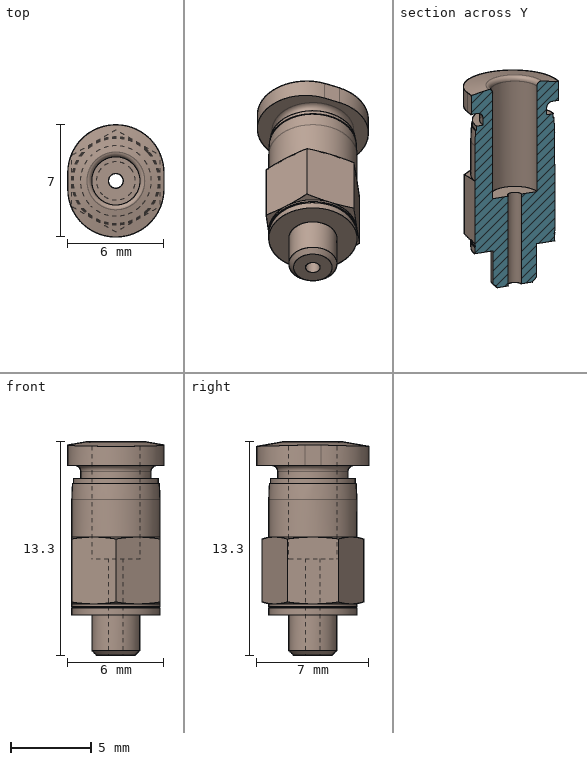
import cadquery as cq
import math

spigot_diameter = 3.0
spigot_length = 2.5
spigot_chamfer = 0.3

body_diameter = 5.5
washer_height = 0.45
groove_depth = 0.05
groove_height = 2 * groove_depth
land_height = 0.15
hex_height = 4.15
hex_across_flats = body_diameter
hex_sides = 6
hex_chamfer_angle = 15.0

sleeve_height = 2.35
crown_height = 1.0
crown_top_diameter = 5.4
collar_diameter = 5.3
collar_height = 0.3

neck_diameter = 4.4
neck_height = 0.8
neck_fillet = 0.35
cap_width = 6.0
cap_length = 7.0
cap_height = 1.5
cap_slope_angle = 10.0

tube_bore_diameter = 3.0
tube_bore_depth = 7.3
mouth_radius = 0.3
flow_bore_diameter = 0.9

washer_top = spigot_length + washer_height
groove_top = washer_top + groove_height
hex_bottom = groove_top + land_height
hex_top = hex_bottom + hex_height
crown_bottom = hex_top + sleeve_height
crown_top = crown_bottom + crown_height
collar_top = crown_top + collar_height
cap_bottom = collar_top + neck_height
total_height = cap_bottom + cap_height


def make_round_body():
    """Spigot, washer, V-groove, sleeve, crowned shoulder, collar and neck as one revolved profile."""
    spigot_radius = spigot_diameter / 2
    body_radius = body_diameter / 2
    collar_radius = collar_diameter / 2
    crown_top_radius = crown_top_diameter / 2
    neck_radius = neck_diameter / 2
    crown_inset = body_radius - crown_top_radius
    crown_radius = (crown_height**2 + crown_inset**2) / (2 * crown_inset)
    crown_mid_height = crown_height / 2
    crown_mid_inset = crown_radius - math.sqrt(crown_radius**2 - crown_mid_height**2)
    fillet_mid_offset = neck_fillet * (1 - math.sqrt(0.5))
    return (
        cq.Workplane("XZ")
        .moveTo(0, 0)
        .lineTo(spigot_radius - spigot_chamfer, 0)
        .lineTo(spigot_radius, spigot_chamfer)
        .lineTo(spigot_radius, spigot_length)
        .lineTo(body_radius, spigot_length)
        .lineTo(body_radius, washer_top)
        .lineTo(body_radius - groove_depth, washer_top + groove_depth)
        .lineTo(body_radius, groove_top)
        .lineTo(body_radius, crown_bottom)
        .threePointArc(
            (body_radius - crown_mid_inset, crown_bottom + crown_mid_height),
            (crown_top_radius, crown_top),
        )
        .lineTo(collar_radius, crown_top)
        .lineTo(collar_radius, collar_top)
        .lineTo(neck_radius, collar_top)
        .lineTo(neck_radius, cap_bottom - neck_fillet)
        .threePointArc(
            (neck_radius + fillet_mid_offset, cap_bottom - fillet_mid_offset),
            (neck_radius + neck_fillet, cap_bottom),
        )
        .lineTo(0, cap_bottom)
        .close()
        .revolve(360, (0, 0, 0), (0, 1, 0))
    )


def make_hexagon():
    """Hexagon with corners on the Y axis and conically chamfered ends."""
    across_corners = hex_across_flats / math.cos(math.pi / hex_sides)
    prism = (
        cq.Workplane("XY")
        .workplane(offset=hex_bottom)
        .transformed(rotate=(0, 0, 90))
        .polygon(hex_sides, across_corners)
        .extrude(hex_height)
    )
    flat_radius = hex_across_flats / 2
    corner_radius = across_corners / 2
    chamfer_drop = (corner_radius - flat_radius) * math.tan(math.radians(hex_chamfer_angle))
    envelope = (
        cq.Workplane("XZ")
        .moveTo(0, hex_bottom)
        .lineTo(flat_radius, hex_bottom)
        .lineTo(corner_radius, hex_bottom + chamfer_drop)
        .lineTo(corner_radius, hex_top - chamfer_drop)
        .lineTo(flat_radius, hex_top)
        .lineTo(0, hex_top)
        .close()
        .revolve(360, (0, 0, 0), (0, 1, 0))
    )
    return prism.intersect(envelope)


def make_cap():
    """Oblong cap, long along Y, whose top slopes down conically from the bore mouth."""
    oblong = (
        cq.Workplane("XY")
        .workplane(offset=cap_bottom)
        .slot2D(cap_length, cap_width, 90)
        .extrude(cap_height)
    )
    mouth_outer_radius = tube_bore_diameter / 2 + mouth_radius
    rim_radius = cap_length / 2
    slope_drop = (rim_radius - mouth_outer_radius) * math.tan(math.radians(cap_slope_angle))
    envelope = (
        cq.Workplane("XZ")
        .moveTo(0, cap_bottom)
        .lineTo(rim_radius, cap_bottom)
        .lineTo(rim_radius, total_height - slope_drop)
        .lineTo(mouth_outer_radius, total_height)
        .lineTo(0, total_height)
        .close()
        .revolve(360, (0, 0, 0), (0, 1, 0))
    )
    return oblong.intersect(envelope)


def make_tube_bore():
    """Blind tube bore with a rounded mouth, as a solid to cut away."""
    bore_radius = tube_bore_diameter / 2
    bore_bottom = total_height - tube_bore_depth
    mouth_mid_offset = mouth_radius * (1 - math.sqrt(0.5))
    return (
        cq.Workplane("XZ")
        .moveTo(0, bore_bottom)
        .lineTo(bore_radius, bore_bottom)
        .lineTo(bore_radius, total_height - mouth_radius)
        .threePointArc(
            (bore_radius + mouth_mid_offset, total_height - mouth_mid_offset),
            (bore_radius + mouth_radius, total_height),
        )
        .lineTo(0, total_height)
        .close()
        .revolve(360, (0, 0, 0), (0, 1, 0))
    )


flow_bore = cq.Workplane("XY").circle(flow_bore_diameter / 2).extrude(total_height)

result = (
    make_round_body()
    .union(make_hexagon())
    .union(make_cap())
    .cut(make_tube_bore())
    .cut(flow_bore)
)